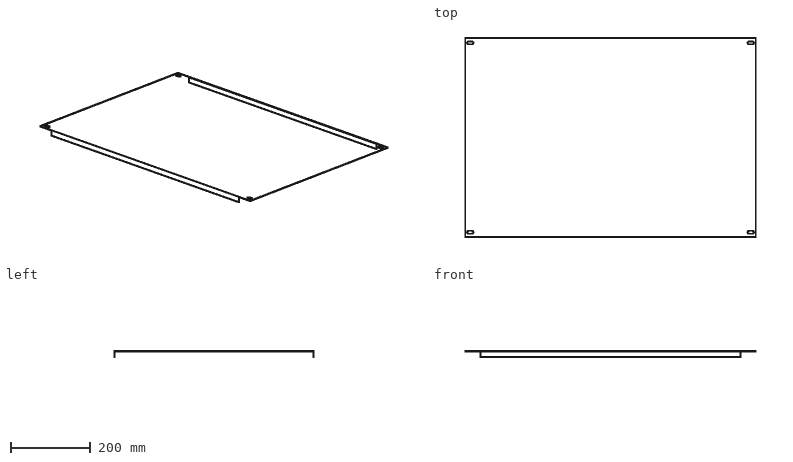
import cadquery as cq

length = 730.0
width = 500.0
height = 15.0
sheet = 1.5

flange_end_gap = 39.0
flange_length = length - 2 * flange_end_gap

slot_length = 15.0
slot_width = 6.5
slot_inset_x = 13.0
slot_inset_y = 12.5


def make_panel():
    """Flat sheet whose upper face is at Z = 0."""
    return cq.Workplane("XY").box(length, width, sheet, centered=(True, True, False)).translate((0, 0, -sheet))


def make_flange(side):
    """Downward flange flush with the long edge at side = -1 or +1 along Y."""
    center_y = side * (width - sheet) / 2
    flange = cq.Workplane("XY").box(flange_length, sheet, height, centered=(True, True, False))
    return flange.translate((0, center_y, -height))


def make_slots():
    """Cutters for the four round-ended corner slots, running along X."""
    spacing_x = length - 2 * slot_inset_x
    spacing_y = width - 2 * slot_inset_y
    return (
        cq.Workplane("XY", origin=(0, 0, -sheet))
        .rarray(spacing_x, spacing_y, 2, 2)
        .slot2D(slot_length, slot_width)
        .extrude(sheet)
    )


result = make_panel()
for side in (-1, 1):
    result = result.union(make_flange(side))
result = result.cut(make_slots())